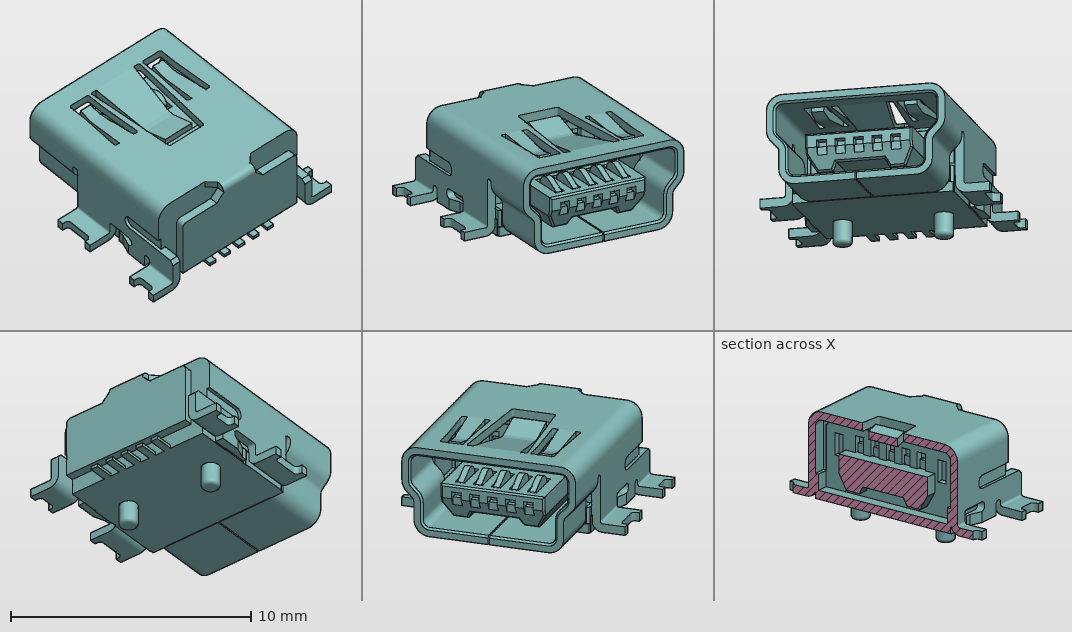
import cadquery as cq
import math


SPAN = 9.9
LENGTH = 9.0
TOP = 3.94
WALL = 0.39
HALF_WIDTH = 3.85
CORNER_R = 0.69
INNER_R = CORNER_R - WALL
INNER_HALF = HALF_WIDTH - WALL
ROOF_UNDER = TOP - WALL
ROOF_END = 8.07
SIDE_BOTTOM = 0.07

LIP_END = 2.69
LIP_BOTTOM = 0.03
LIP_LOWER_HALF = 3.32
JOG_HIGH = 2.14
LEAD_IN = 0.09
SEAM = 0.07

SLIT_END = 3.0
SLIT_TOP = 2.58
SLIT_CORNER_R = 0.12
RELIEF_START = 5.98
RELIEF_LOW = 1.58
RELIEF_HIGH = 2.18
FLANGE_CHAMFER = 0.18
REAR_SLIT_START = 7.2
REAR_SLIT_END = 7.51
REAR_SLIT_TOP = 0.72
REAR_SLIT_CORNER_R = 0.14
WINDOW_START = 5.02
WINDOW_END = 6.4
WINDOW_LOW = 0.56
WINDOW_HIGH = 0.99
WINDOW_CORNER_R = 0.12
ROUND_END = 0.49
LATCH_START = 5.39
LATCH_BEND = 5.62
LATCH_END = 6.19
LATCH_INSET = 0.2

FEET = [
    (SLIT_END, WINDOW_START, 3.31, 4.7),
    (REAR_SLIT_END, LENGTH, 7.79, 8.68),
]
FOOT_INNER_R = 0.1
NOTCH_DEPTH = 0.31
NOTCH_R = 0.18

FLAP_FRONT = 8.44
FLAP_BACK = 8.83
FLAP_HALF = 3.17
FLAP_TOP = 3.25
FLAP_BOTTOM = 0.4
FLAP_CORNER = 0.23
TAB_HALF = 0.89
TAB_ROOT_HALF = 1.27
TAB_THICK = 0.31

CENTRE_SLOT_START = 0.99
CENTRE_SLOT_END = 5.5
CENTRE_SLOT_HALVES = (1.35, 0.96)
CENTRE_FINGER_HALVES = (1.05, 0.74)
CENTRE_FINGER_LOW = (3.56, 3.82)
CENTRE_FINGER_DIP = 0.51
CENTRE_FINGER_TIP = 4.99
CENTRE_TIP_DIP = 0.15
SIDE_SLOT_START = 0.99
SIDE_SLOT_END = 3.99
SIDE_SLOT_BEND = 1.94
SIDE_SLOT_HALVES = (0.51, 0.63)
SIDE_FINGER_Y = 2.01
SIDE_FINGER_HALVES = (0.27, 0.4)
SIDE_FINGER_TIP = 1.42
SIDE_TIP_OVERHANG = 0.09
SIDE_FINGER_LOW = (2.01, 2.25)
SIDE_FINGER_DIP = 0.22
SIDE_TIP_DIP = 0.08
SLOT_CORNER_R = 0.09

BACK_WALL = 5.01
FACE_STEP = 0.04
FACE_HALF = 3.32
FACE_TOP = 3.42
FACE_CORNER = 0.25
FLOOR_TOP = LIP_BOTTOM + WALL
RELIEF_FILL_Y = 3.7
LEDGES = [(2.83, 5.2), (5.39, 6.53)]
LEDGE_TOP = 0.72
LEDGE_OUT = 0.03
RAIL_THICK = 0.16
RAIL_TOP = 1.14
RAIL_CHAMFER = 0.12
KEY_Y = 2.65
KEY_WIDTH = 0.42
KEY_LOW = 1.93
KEY_HIGH = 2.92
POCKET_DEPTH = 0.3
PEG_X = 5.92
PEG_Y = 2.19
PEG_R = 0.41
PEG_LENGTH = 1.01
PEG_FILLET = 0.17

TONGUE_FRONT = 0.45
TONGUE_TOP = 2.28
TONGUE_HALF = 2.3
TONGUE_SIDE_LOW = 1.42
TONGUE_PAD = (1.9, 1.23)
TONGUE_BOTTOM = 0.72
TONGUE_NOTCH_HALF = 1.04
TONGUE_NOTCH_Z = 1.06
TONGUE_CHAMFER = 0.08
NOSE_LOW = 1.67
NOSE_SLOPE_END = 0.89

CONTACT_COUNT = 5
CONTACT_PITCH = 0.797
CONTACT_WIDTH = 0.27
GROOVE_WIDTH = 0.42
GROOVE_START = 0.89
GROOVE_END = 2.54
GROOVE_FLOOR = 2.08
CREST_START_Z = 2.24
CREST_RAMP_TOP = (1.58, 2.57)
CREST_PEAK = (1.88, 2.63)
CREST_END = 2.32
NOSE_SLOT_LOW = 1.37
NOSE_SLOT_HIGH = 1.98
NOSE_SLOT_BACK = 0.59
TIP_HOLE_LOW = 1.71
TIP_HOLE_BACK = 0.84
CONTACT_POCKET_TOP = 3.03
CONTACT_STUB_TOP = 2.69
CONTACT_STUB_INSET = 0.1
TAIL_WIDTH = 0.35
TAIL_END = 8.95
TAIL_THICK = 0.15

LEVEL_MARGIN = 0.01

CONTACT_YS = [(i - (CONTACT_COUNT - 1) / 2) * CONTACT_PITCH for i in range(CONTACT_COUNT)]


def block(x, y, z):
    """Box from (low, high) ranges along X, Y and Z."""
    size = (x[1] - x[0], y[1] - y[0], z[1] - z[0])
    return cq.Workplane("XY").box(*size, centered=False).translate((x[0], y[0], z[0]))


def across(points, x):
    """Prism of a YZ outline over an X range."""
    return cq.Workplane("YZ").workplane(offset=x[0]).polyline(points).close().extrude(x[1] - x[0])


def lengthwise(points, y, width):
    """Prism of an XZ outline, centred on y."""
    return cq.Workplane("XZ").polyline(points).close().extrude(width / 2, both=True).translate((0, y, 0))


def upright(points, z):
    """Prism of an XY outline over a Z range."""
    return cq.Workplane("XY").workplane(offset=z[0]).polyline(points).close().extrude(z[1] - z[0])


def both_sides(solid):
    return solid.union(solid.mirror("XZ"))


def mirrored(half_outline):
    """Closed YZ outline from the points of its +Y half."""
    return half_outline + [(-y, z) for y, z in reversed(half_outline)]


def at_level(x, z):
    """Selector of what lies at height z within an X range."""
    return cq.selectors.BoxSelector(
        (x[0], -SPAN, z - LEVEL_MARGIN), (x[1], SPAN, z + LEVEL_MARGIN))


def mouth_prism(inset, length):
    """D-shaped prism with every side moved inward by inset."""
    jog_high = JOG_HIGH + inset * (math.sqrt(2) - 1)
    jog_low = jog_high - (HALF_WIDTH - LIP_LOWER_HALF)
    bottom = LIP_BOTTOM + inset
    top = TOP - inset
    prism = across(mirrored([
        (LIP_LOWER_HALF - inset, bottom),
        (LIP_LOWER_HALF - inset, jog_low),
        (HALF_WIDTH - inset, jog_high),
        (HALF_WIDTH - inset, top),
    ]), (0, length))
    bends = [(jog_low, INNER_R + inset)]
    bends += [(z, CORNER_R - inset) for z in (bottom, jog_high, top)]
    for z, radius in bends:
        prism = prism.edges("|X").edges(at_level((0, length), z)).fillet(radius)
    return prism


def mouth_ring():
    opening = mouth_prism(WALL, LIP_END)
    lead_in = mouth_prism(WALL - LEAD_IN, 2 * LEAD_IN).faces(">X").chamfer(LEAD_IN)
    lead_in = lead_in.translate((-LEAD_IN, 0, 0))
    seam = block((0, LIP_END), (-SEAM / 2, SEAM / 2), (LIP_BOTTOM, FLOOR_TOP))
    return mouth_prism(0, LIP_END).cut(opening).cut(lead_in).cut(seam)


def body_cover():
    span_x = (LIP_END, ROOF_END)
    outer = block(span_x, (-HALF_WIDTH, HALF_WIDTH), (SIDE_BOTTOM, TOP))
    outer = outer.edges("|X and >Z").fillet(CORNER_R)
    inner = block(span_x, (-INNER_HALF, INNER_HALF), (SIDE_BOTTOM, ROOF_UNDER))
    inner = inner.edges("|X and >Z").fillet(INNER_R)
    flange = block((ROOF_END, LENGTH), (INNER_HALF, HALF_WIDTH), (SIDE_BOTTOM, RELIEF_LOW))
    flange = flange.edges("|Y and >X and >Z").chamfer(FLANGE_CHAMFER)
    return outer.cut(inner).union(both_sides(flange))


def relief_slot(outer_y):
    """Round-ended slot from the inner face of the +Y wall out to outer_y."""
    slot = block((RELIEF_START, ROOF_END), (INNER_HALF, outer_y), (RELIEF_LOW, RELIEF_HIGH))
    return slot.edges("|Y and <X").fillet(ROUND_END * (RELIEF_HIGH - RELIEF_LOW))


def side_openings():
    """Openings through the +Y side wall."""
    wall_y = (INNER_HALF, HALF_WIDTH)
    front_slit = block((LIP_END, SLIT_END), wall_y, (0, SLIT_TOP))
    front_slit = front_slit.edges("|Y and >Z").fillet(SLIT_CORNER_R)
    rear_slit = block((REAR_SLIT_START, REAR_SLIT_END), wall_y, (0, REAR_SLIT_TOP))
    rear_slit = rear_slit.edges("|Y and >Z").fillet(REAR_SLIT_CORNER_R)
    relief = relief_slot(HALF_WIDTH)
    window = block((WINDOW_START, WINDOW_END), wall_y, (WINDOW_LOW, WINDOW_HIGH))
    window = window.edges("|Y and >X").fillet(ROUND_END * (WINDOW_HIGH - WINDOW_LOW))
    window = window.edges("|Y and <X and >Z").fillet(WINDOW_CORNER_R)
    window_slit = block((WINDOW_START, LATCH_START), wall_y, (0, WINDOW_LOW))
    latch_bend = upright([
        (LATCH_START, HALF_WIDTH),
        (LATCH_START, HALF_WIDTH - LATCH_INSET),
        (LATCH_BEND, HALF_WIDTH - LATCH_INSET),
        (LATCH_END, HALF_WIDTH),
    ], (SIDE_BOTTOM, WINDOW_LOW))
    return front_slit.union(rear_slit).union(relief).union(window).union(window_slit).union(latch_bend)


def foot(start, end, notch_start, notch_end):
    """Solder foot bent outward from the bottom of the +Y wall."""
    outer_r = FOOT_INNER_R + WALL
    turn = math.sqrt(0.5)
    centre_y = HALF_WIDTH + FOOT_INNER_R
    plate = (
        cq.Workplane("YZ").workplane(offset=start)
        .moveTo(INNER_HALF, outer_r)
        .threePointArc((centre_y - outer_r * turn, outer_r - outer_r * turn), (centre_y, 0))
        .lineTo(SPAN / 2, 0)
        .lineTo(SPAN / 2, WALL)
        .lineTo(centre_y, WALL)
        .threePointArc((centre_y - FOOT_INNER_R * turn, outer_r - FOOT_INNER_R * turn),
                       (HALF_WIDTH, outer_r))
        .close().extrude(end - start)
    )
    notch = block((notch_start, notch_end), (SPAN / 2 - NOTCH_DEPTH, SPAN / 2), (0, WALL))
    return plate.cut(notch.edges("|Z and <Y").fillet(NOTCH_R))


def foot_clearance(start, end):
    """Stretch of wall below the bend, replaced by the foot."""
    return block((start, end), (INNER_HALF, HALF_WIDTH), (0, FOOT_INNER_R + WALL))


def rear_flap():
    tab_bottom = TOP - TAB_THICK
    flap_x = (FLAP_FRONT, FLAP_BACK)
    flap = across(mirrored([
        (FLAP_HALF, FLAP_BOTTOM),
        (FLAP_HALF, FLAP_TOP),
        (TAB_HALF + tab_bottom - FLAP_TOP, FLAP_TOP),
        (TAB_HALF, tab_bottom),
        (TAB_HALF, TOP),
    ]), flap_x)
    flap = flap.edges("|Y and >X and >Z").fillet(TAB_THICK)
    flap = flap.edges("|X").edges(at_level(flap_x, FLAP_TOP)).edges("<Y or >Y").fillet(FLAP_CORNER)
    tab = upright([
        (ROOF_END, -TAB_ROOT_HALF), (FLAP_FRONT, -TAB_HALF),
        (FLAP_FRONT, TAB_HALF), (ROOF_END, TAB_ROOT_HALF),
    ], (tab_bottom, TOP))
    return flap.union(tab)


def finger(path, halves, y):
    """Bent strip of roof sheet.

    path lists (X, dip of the top face) from root to tip, halves lists (X, half width).
    """
    top = [(x, TOP - dip) for x, dip in path]
    under = [(x, z - WALL) for x, z in reversed(top)]
    strip = lengthwise(top + under, y, 2 * max(half for _, half in halves))
    outline = [(x, y + half) for x, half in halves] + [(x, y - half) for x, half in reversed(halves)]
    return strip.intersect(upright(outline, (0, TOP)))


def centre_finger():
    low_start, low_end = CENTRE_FINGER_LOW
    root_half, tip_half = CENTRE_FINGER_HALVES
    path = [
        (CENTRE_SLOT_START, 0),
        (low_start, CENTRE_FINGER_DIP),
        (low_end, CENTRE_FINGER_DIP),
        (CENTRE_FINGER_TIP, CENTRE_TIP_DIP),
    ]
    halves = [(CENTRE_SLOT_START, root_half), (low_start, tip_half), (CENTRE_FINGER_TIP, tip_half)]
    return finger(path, halves, 0)


def side_finger():
    low_front, low_back = SIDE_FINGER_LOW
    tip_half, root_half = SIDE_FINGER_HALVES
    under_tip = SIDE_FINGER_TIP - SIDE_TIP_OVERHANG
    path = [
        (SIDE_SLOT_END, 0),
        (low_back, SIDE_FINGER_DIP),
        (low_front, SIDE_FINGER_DIP),
        (under_tip, SIDE_TIP_DIP),
    ]
    strip = finger(path, [(SIDE_SLOT_END, root_half), (under_tip, tip_half)], SIDE_FINGER_Y)
    slanted_end = lengthwise([
        (under_tip, ROOF_UNDER - SIDE_TIP_DIP), (SIDE_FINGER_TIP, TOP - SIDE_TIP_DIP),
        (SIDE_FINGER_TIP, TOP), (under_tip, TOP),
    ], SIDE_FINGER_Y, 2 * root_half)
    return strip.cut(slanted_end)


def centre_slot():
    start_half, end_half = CENTRE_SLOT_HALVES
    slot = upright([
        (CENTRE_SLOT_START, -start_half), (CENTRE_SLOT_END, -end_half),
        (CENTRE_SLOT_END, end_half), (CENTRE_SLOT_START, start_half),
    ], (ROOF_UNDER, TOP))
    return slot.edges("|Z").fillet(SLOT_CORNER_R)


def side_slot():
    start_half, end_half = SIDE_SLOT_HALVES
    edge = [(SIDE_SLOT_START, start_half), (SIDE_SLOT_BEND, start_half), (SIDE_SLOT_END, end_half)]
    outline = edge + [(x, -half) for x, half in reversed(edge)]
    slot = upright(outline, (ROOF_UNDER, TOP)).translate((0, SIDE_FINGER_Y, 0))
    return slot.edges("|Z and (<X or >X)").fillet(SLOT_CORNER_R)


def shell():
    body = mouth_ring().union(body_cover())
    body = body.cut(both_sides(side_openings()))
    for start, end, notch_start, notch_end in FEET:
        body = body.cut(both_sides(foot_clearance(start, end)))
        body = body.union(both_sides(foot(start, end, notch_start, notch_end)))
    body = body.union(rear_flap())
    body = body.cut(centre_slot()).cut(both_sides(side_slot()))
    return body.union(centre_finger()).union(both_sides(side_finger()))


def housing_base():
    ring_x = BACK_WALL + FACE_STEP
    core = block((ring_x, ROOF_END), (-INNER_HALF, INNER_HALF), (0, ROOF_UNDER))
    core = core.edges("|X and >Z").fillet(INNER_R)
    face = block((BACK_WALL, ring_x), (-FACE_HALF, FACE_HALF), (0, FACE_TOP))
    face = face.edges("|X and >Z").chamfer(FACE_CORNER)
    floor = block((LIP_END, ring_x), (-INNER_HALF, INNER_HALF), (0, FLOOR_TOP))
    rail = block((LIP_END, ring_x), (INNER_HALF - RAIL_THICK, INNER_HALF), (0, RAIL_TOP))
    rail = rail.edges("|Z and <X and >Y").chamfer(RAIL_CHAMFER)
    key = block((BACK_WALL, BACK_WALL + POCKET_DEPTH),
                (KEY_Y - KEY_WIDTH / 2, KEY_Y + KEY_WIDTH / 2), (KEY_LOW, KEY_HIGH))
    peg = cq.Workplane("XY").circle(PEG_R).extrude(-PEG_LENGTH).faces("<Z").edges().fillet(PEG_FILLET)
    peg = peg.translate((PEG_X, PEG_Y, 0))
    base = core.union(face).union(floor).union(both_sides(rail)).union(both_sides(peg))
    base = base.union(both_sides(relief_slot(RELIEF_FILL_Y)))
    for ledge_x in LEDGES:
        ledge = block(ledge_x, (INNER_HALF - RAIL_THICK, INNER_HALF + LEDGE_OUT), (0, LEDGE_TOP))
        base = base.union(both_sides(ledge))
    return base.cut(both_sides(key))


def tongue():
    bar = across(mirrored([
        (TONGUE_NOTCH_HALF, TONGUE_NOTCH_Z),
        (TONGUE_PAD[1], TONGUE_BOTTOM),
        (TONGUE_PAD[0], TONGUE_BOTTOM),
        (TONGUE_HALF, TONGUE_SIDE_LOW),
        (TONGUE_HALF, TONGUE_TOP),
    ]), (TONGUE_FRONT, BACK_WALL))
    under_nose = lengthwise([
        (TONGUE_FRONT, NOSE_LOW), (NOSE_SLOPE_END, TONGUE_BOTTOM), (TONGUE_FRONT, TONGUE_BOTTOM),
    ], 0, 2 * TONGUE_HALF)
    bar = bar.cut(under_nose)
    crease = cq.selectors.NearestToPointSelector((TONGUE_FRONT, 0, NOSE_LOW))
    front_edges = bar.faces(cq.selectors.BoxSelector(
        (TONGUE_FRONT - 0.1, -SPAN, 0), (NOSE_SLOPE_END, SPAN, TOP))).edges()
    creases = front_edges.edges(crease).vals()
    rim = [e for e in front_edges.vals() if not any(e.isSame(c) for c in creases)]
    return bar.newObject(rim).chamfer(TONGUE_CHAMFER)


def contact_openings(y):
    side = (y - GROOVE_WIDTH / 2, y + GROOVE_WIDTH / 2)
    groove = block((GROOVE_START, GROOVE_END), side, (GROOVE_FLOOR, TONGUE_TOP))
    nose_slot = block((TONGUE_FRONT, NOSE_SLOT_BACK), side, (NOSE_SLOT_LOW, NOSE_SLOT_HIGH))
    tip_hole = block((NOSE_SLOT_BACK, TIP_HOLE_BACK), side, (TIP_HOLE_LOW, NOSE_SLOT_HIGH))
    pocket = block((BACK_WALL, BACK_WALL + POCKET_DEPTH), side, (TONGUE_TOP, CONTACT_POCKET_TOP))
    return groove.union(nose_slot).union(tip_hole).union(pocket)


def contact(y):
    """Spring crest above the tongue, stub in the back wall and solder tail."""
    crest = (
        cq.Workplane("XZ")
        .moveTo(GROOVE_START, GROOVE_FLOOR)
        .lineTo(GROOVE_START, CREST_START_Z)
        .lineTo(*CREST_RAMP_TOP)
        .threePointArc(CREST_PEAK, (CREST_END, TONGUE_TOP))
        .lineTo(CREST_END, GROOVE_FLOOR)
        .close().extrude(CONTACT_WIDTH / 2, both=True).translate((0, y, 0))
    )
    side = (y - CONTACT_WIDTH / 2, y + CONTACT_WIDTH / 2)
    stub_x = (BACK_WALL + CONTACT_STUB_INSET, BACK_WALL + POCKET_DEPTH)
    stub = block(stub_x, side, (TONGUE_TOP, CONTACT_STUB_TOP))
    tail = block((ROOF_END, TAIL_END), (y - TAIL_WIDTH / 2, y + TAIL_WIDTH / 2), (0, TAIL_THICK))
    return crest.union(stub).union(tail)


result = shell().union(housing_base()).union(tongue())
for contact_y in CONTACT_YS:
    result = result.cut(contact_openings(contact_y)).union(contact(contact_y))